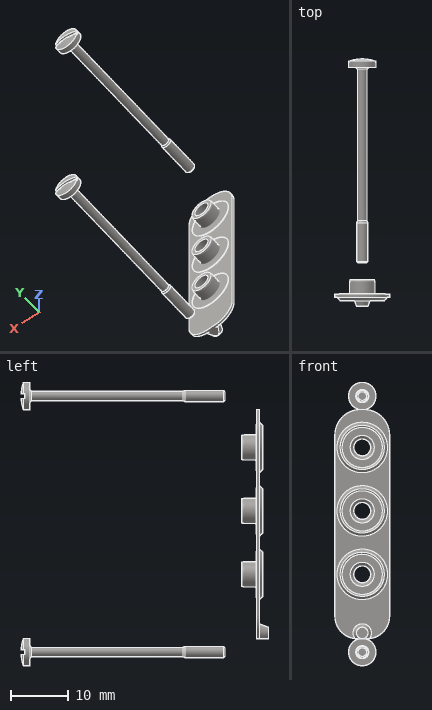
import cadquery as cq

plate_width = 9.6
plate_height = 40.0
plate_thickness = 0.55
plate_back_y = -19.45
plate_front_y = plate_back_y - plate_thickness
top_corner_radius = 4.55
bottom_corner_radius = 4.0

bushing_count = 3
bushing_pitch = 11.05
middle_bushing_z = 2.3
hub_diameter = 4.45
hub_length = 2.55
pad_diameter = 8.0
pad_thickness = 0.1
hub_foot_radius = 0.1
hub_chamfer_length = 0.45
hub_chamfer_depth = 0.1
rim_base_diameter = 8.8
rim_diameter = 7.7
rim_height = 0.6
recess_diameter = 7.0
recess_depth = 0.5
lip_depth = 0.2
bore_diameter = 2.9
bore_mouth_diameter = 4.2
bore_taper_length = 0.6

boss_base_diameter = 3.2
boss_tip_diameter = 2.0
boss_height = 1.585
boss_tip_inset = 0.04
boss_z = boss_tip_inset + boss_tip_diameter / 2 - plate_height / 2

head_diameter = 4.8
head_edge_height = 1.15
dome_height = 0.435
head_seat_y = 20.0
slot_width = 0.8
slot_depth = 0.65
shank_diameter = 1.69
neck_diameter = 2.3
neck_length = 0.25
thread_diameter = 2.0
thread_taper_length = 0.35
thread_length = 7.0
tip_diameter = 1.5
tip_length = 0.25
screw_length = 34.0
screw_z = 22.3


def revolve_about_y(profile, y, z):
    """Turn a closed (radius, axial) profile about the Y direction, placed at height z."""
    return profile.close().revolve(360, (0, 0), (0, 1)).translate((0, y, z))


def make_flat_plate():
    plate = cq.Workplane("XY").box(plate_width, plate_thickness, plate_height)
    plate = plate.edges("|Y and >Z").fillet(top_corner_radius)
    plate = plate.edges("|Y and <Z").fillet(bottom_corner_radius)
    return plate.translate((0, plate_back_y - plate_thickness / 2, 0))


def make_bushing(z):
    hub_radius = hub_diameter / 2
    pad_back = plate_thickness + pad_thickness
    body = (
        cq.Workplane("XY")
        .moveTo(0, -rim_height)
        .lineTo(rim_diameter / 2, -rim_height)
        .lineTo(rim_base_diameter / 2, 0)
        .lineTo(pad_diameter / 2, 0)
        .lineTo(pad_diameter / 2, pad_back)
        .lineTo(hub_radius + hub_foot_radius, pad_back)
        .radiusArc((hub_radius, pad_back + hub_foot_radius), hub_foot_radius)
        .lineTo(hub_radius, plate_thickness + hub_length - hub_chamfer_length)
        .lineTo(hub_radius - hub_chamfer_depth, plate_thickness + hub_length)
        .lineTo(0, plate_thickness + hub_length)
    )
    return revolve_about_y(body, plate_front_y, z)


def make_bushing_opening(z):
    floor = -rim_height + recess_depth
    opening = (
        cq.Workplane("XY")
        .moveTo(0, -rim_height)
        .lineTo(rim_diameter / 2, -rim_height)
        .lineTo(recess_diameter / 2, -rim_height + lip_depth)
        .lineTo(recess_diameter / 2, floor)
        .lineTo(bore_mouth_diameter / 2, floor)
        .lineTo(bore_diameter / 2, floor + bore_taper_length)
        .lineTo(bore_diameter / 2, plate_thickness + hub_length)
        .lineTo(0, plate_thickness + hub_length)
    )
    return revolve_about_y(opening, plate_front_y, z)


def make_boss():
    """Tapered boss, trimmed flush with the bottom edge of the plate."""
    boss = (
        cq.Workplane("XY")
        .lineTo(boss_base_diameter / 2, 0)
        .lineTo(boss_tip_diameter / 2, -boss_height)
        .lineTo(0, -boss_height)
    )
    trim_height = boss_base_diameter
    trim_depth = 4 * boss_height
    trim = cq.Workplane("XY").box(plate_width, trim_depth, trim_height)
    trim = trim.translate((0, plate_front_y, -plate_height / 2 - trim_height / 2))
    return revolve_about_y(boss, plate_front_y, boss_z).cut(trim)


def make_plate():
    plate = make_flat_plate().union(make_boss())
    for index in range(bushing_count):
        z = middle_bushing_z + (index - (bushing_count - 1) / 2) * bushing_pitch
        plate = plate.union(make_bushing(z)).cut(make_bushing_opening(z))
    return plate


def make_screw(z):
    head_radius = head_diameter / 2
    dome_radius = (head_radius**2 + dome_height**2) / (2 * dome_height)
    head_top = head_edge_height + dome_height
    mid_arc_r = head_radius / 2
    mid_arc_y = head_top - dome_radius + (dome_radius**2 - mid_arc_r**2) ** 0.5
    thread_start = -screw_length + thread_length
    profile = (
        cq.Workplane("XY")
        .moveTo(0, head_top)
        .threePointArc((mid_arc_r, mid_arc_y), (head_radius, head_edge_height))
        .lineTo(head_radius, 0)
        .lineTo(neck_diameter / 2, 0)
        .lineTo(shank_diameter / 2, -neck_length)
        .lineTo(shank_diameter / 2, thread_start + thread_taper_length)
        .lineTo(thread_diameter / 2, thread_start)
        .lineTo(thread_diameter / 2, -screw_length + tip_length)
        .lineTo(tip_diameter / 2, -screw_length)
        .lineTo(0, -screw_length)
    )
    slot = cq.Workplane("XY").box(head_diameter, 2 * slot_depth, slot_width)
    slot = slot.translate((0, head_seat_y + head_top, z))
    return revolve_about_y(profile, head_seat_y, z).cut(slot)


plate = make_plate()
screws = [make_screw(z) for z in (screw_z, -screw_z)]

result = cq.Compound.makeCompound([plate.val(), *[screw.val() for screw in screws]])